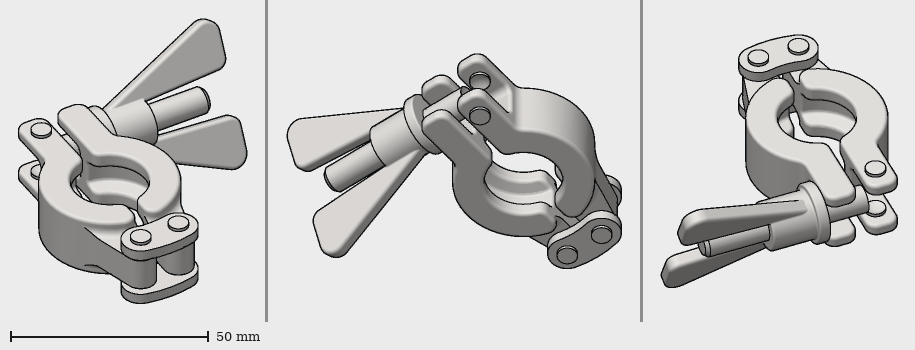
import cadquery as cq
import math


ring_radius = 18.0
bore_radius = 10.0
half_thickness = 8.5
half_gap = 1.5
edge_fillet = 1.0
tip_radius = 3.0
throat_radius = 2.7

groove_radius = 13.9
groove_mouth_half_width = 4.2
groove_flank_angle = 15.0
groove_fillet = 1.0

arm_end_x = -31.0
arm_outer_y = 10.0
arm_corner_radius = 3.0
arm_root_radius = 3.0
slot_half_width = 4.995
slot_end_x = -18.0
slot_corner_radius = 2.0

pin_x = 25.0
pin_y = 5.5
pin_radius = 2.62
pin_half_length = 9.4

lug_half_thickness = 4.5
lug_end_radius = pin_y - half_gap
lug_flank_angle = 15.2
lug_flank_curve_radius = 11.95
lug_blend_radius = 2.0
link_end_radius = 4.995
link_inner_z = 5.5

bolt_radius = 7.2 / 2
bolt_end_y = 42.3
bolt_chamfer_length = 1.0
bolt_chamfer_depth = 0.8
joint_ball_radius = 4.9
flange_radius = 16.0 / 2
flange_top_y = 13.0
hub_radius = 13.0 / 2
hub_top_y = 25.0
nut_fillet = 0.5

wing_thickness = 4.0
wing_lean_angle = 24.8
wing_reach = 20.0
wing_top_y = 49.95
wing_root_y = 13.6
wing_outer_corner = 4.0
wing_inner_corner = 3.0
wing_outer_angle = 24.0
wing_inner_angle = 3.4
wing_inner_reach = 4.995
wing_fillet = 1.0


def polar(radius, degrees, center=(0.0, 0.0)):
    """Point on the circle of the given radius around the centre."""
    angle = math.radians(degrees)
    return (center[0] + radius * math.cos(angle), center[1] + radius * math.sin(angle))


def slab(outline, half_height):
    """Closed outline extruded equally above and below the XY plane."""
    return outline.extrude(half_height, both=True)


def vertical_edge_at(x, y):
    """Selector for the edge parallel to Z that passes through (x, y)."""
    margin = 0.15
    return cq.selectors.BoxSelector(
        (x - margin, y - margin, -margin), (x + margin, y + margin, margin)
    )




def upper_side():
    """Everything on the +Y side of the gap."""
    size = 4 * ring_radius
    return cq.Workplane("XY").box(size, size, size).translate((0, half_gap + size / 2, 0))


def half_ring_with_arm():
    """Half ring and arm with rounded vertical edges."""
    arm = (
        cq.Workplane("XY")
        .moveTo(arm_end_x, half_gap)
        .lineTo(0, half_gap)
        .lineTo(0, arm_outer_y)
        .lineTo(arm_end_x, arm_outer_y)
        .close()
    )
    half = slab(cq.Workplane("XY").circle(ring_radius), half_thickness).intersect(upper_side())
    half = half.union(slab(arm, half_thickness))
    half = half.cut(slab(cq.Workplane("XY").circle(bore_radius), half_thickness))

    throat_x = math.sqrt(bore_radius**2 - half_gap**2)
    tip_x = math.sqrt(ring_radius**2 - half_gap**2)
    root_x = -math.sqrt(ring_radius**2 - arm_outer_y**2)
    half = half.edges(vertical_edge_at(throat_x, half_gap)).fillet(throat_radius)
    half = half.edges(vertical_edge_at(-throat_x, half_gap)).fillet(throat_radius)
    half = half.edges(vertical_edge_at(tip_x, half_gap)).fillet(tip_radius)
    half = half.edges(vertical_edge_at(root_x, arm_outer_y)).fillet(arm_root_radius)
    return half.edges("|Z and <X").fillet(arm_corner_radius)


def cut_slot(half):
    """Slot for the screw, open at the arm end, and rounded outer edges."""
    slot_length = slot_end_x - arm_end_x
    slot = (
        cq.Workplane("XY")
        .box(2 * slot_length, 2 * arm_outer_y, 2 * slot_half_width)
        .translate((arm_end_x, arm_outer_y, 0))
        .edges("|Y and >X")
        .fillet(slot_corner_radius)
    )
    half = half.cut(slot)
    near_slot = cq.selectors.BoxSelector(
        (arm_end_x - 0.7, 0, -slot_half_width - 0.1),
        (slot_end_x + 0.1, arm_outer_y + 0.7, slot_half_width + 0.1),
        boundingbox=True,
    )
    rims = half.edges(near_slot).edges("(not |Y) or <X")
    return rims.add(half.faces("<Z or >Z").edges()).fillet(edge_fillet)


def lug_outline(heel_x):
    """Lug from the ring to its round end, with a straight flank curving into the ring."""
    pin = (pin_x, pin_y)
    flank_normal = 90 - lug_flank_angle
    flank_end = polar(lug_end_radius, flank_normal, pin)
    flank_distance = (
        flank_end[0] * math.cos(math.radians(flank_normal))
        + flank_end[1] * math.sin(math.radians(flank_normal))
    )

    center_distance = ring_radius + lug_flank_curve_radius
    center_angle = flank_normal - math.degrees(
        math.acos((flank_distance + lug_flank_curve_radius) / center_distance)
    )
    curve_center = polar(center_distance, center_angle)
    middle_angle = 180 + (center_angle + flank_normal) / 2
    return (
        cq.Workplane("XY")
        .moveTo(heel_x, half_gap)
        .lineTo(*polar(ring_radius, center_angle))
        .threePointArc(
            polar(lug_flank_curve_radius, middle_angle, curve_center),
            polar(lug_flank_curve_radius, 180 + flank_normal, curve_center),
        )
        .lineTo(*flank_end)
        .threePointArc((pin_x + lug_end_radius, pin_y), (pin_x, half_gap))
        .close()
    )


def hinge_lug():
    """Lug on the hinge side with the piece of ring wall that it blends into."""
    tip_center_y = half_gap + tip_radius
    tip_center = (math.sqrt((ring_radius - tip_radius) ** 2 - tip_center_y**2), tip_center_y)
    tip_angle = math.degrees(math.atan2(tip_center[1], tip_center[0]))
    wall_start_angle = 80
    block_start_angle = 65
    wall = (
        cq.Workplane("XY")
        .moveTo(*polar(ring_radius, wall_start_angle))
        .threePointArc(
            polar(ring_radius, (wall_start_angle + tip_angle) / 2), polar(ring_radius, tip_angle)
        )
        .threePointArc(polar(tip_radius, -45, tip_center), polar(tip_radius, -135, tip_center))
        .close()
    )
    wall = slab(wall, half_thickness - edge_fillet)

    heel_x = tip_center[0] - tip_radius / 2
    block = (
        cq.Workplane("XY")
        .moveTo(heel_x, -ring_radius)
        .lineTo(heel_x, tip_center_y)
        .lineTo(*polar(ring_radius - tip_radius, block_start_angle))
        .lineTo(*polar(2 * ring_radius, block_start_angle))
        .lineTo(2 * ring_radius, 2 * ring_radius)
        .lineTo(2 * ring_radius, -ring_radius)
        .close()
    )
    block = slab(block, lug_half_thickness)
    seam = cq.selectors.BoxSelector(
        (heel_x, half_gap + 0.7, -lug_half_thickness - 0.1),
        (ring_radius, ring_radius, lug_half_thickness + 0.1),
    )
    blended = wall.union(block).edges(seam).edges("not |Z").fillet(lug_blend_radius)
    return blended.intersect(slab(lug_outline(heel_x), half_thickness))


def cut_groove(half):
    """V-groove in the bore, with a rounded floor and rounded lips."""
    narrowing = math.tan(math.radians(groove_flank_angle))
    inner_radius = bore_radius - groove_fillet
    mouth_half_width = groove_mouth_half_width + narrowing * groove_fillet
    floor_half_width = mouth_half_width - narrowing * (groove_radius - inner_radius)
    profile = (
        cq.Sketch()
        .polygon(
            [
                (inner_radius, -mouth_half_width),
                (groove_radius, -floor_half_width),
                (groove_radius, floor_half_width),
                (inner_radius, mouth_half_width),
                (inner_radius, -mouth_half_width),
            ]
        )
        .vertices(">X")
        .fillet(groove_fillet)
    )
    groove = cq.Workplane("XZ").placeSketch(profile).revolve(360, (0, 0, 0), (0, 1, 0))
    half = half.cut(groove)

    lip_inner_z = groove_mouth_half_width - narrowing * throat_radius
    lip_outer_z = groove_mouth_half_width + 0.1
    upper_lip = cq.selectors.BoxSelector(
        (-groove_radius, 0, lip_inner_z), (groove_radius, groove_radius, lip_outer_z), True
    )
    lower_lip = cq.selectors.BoxSelector(
        (-groove_radius, 0, -lip_outer_z), (groove_radius, groove_radius, -lip_inner_z), True
    )
    return half.edges(upper_lip + lower_lip).fillet(groove_fillet)


def clamp_half():
    """Upper half: ring, slotted arm, hinge lug and groove."""
    half = cut_slot(half_ring_with_arm())
    return cut_groove(half.union(hinge_lug()))




def pin(x, y):
    """Round pin along Z."""
    return slab(cq.Workplane("XY").center(x, y).circle(pin_radius), pin_half_length)


def link():
    """Upper hinge link, a slot shape curved about the ring axis, over both hinge pins."""
    pin_distance = math.hypot(pin_x, pin_y)
    pin_angle = math.degrees(math.atan2(pin_y, pin_x))
    outer = pin_distance + link_end_radius
    inner = pin_distance - link_end_radius
    return (
        cq.Workplane("XY", origin=(0, 0, link_inner_z))
        .moveTo(*polar(outer, -pin_angle))
        .threePointArc((outer, 0), polar(outer, pin_angle))
        .tangentArcPoint(polar(inner, pin_angle), relative=False)
        .threePointArc((inner, 0), polar(inner, -pin_angle))
        .tangentArcPoint(polar(outer, -pin_angle), relative=False)
        .close()
        .extrude(half_thickness - link_inner_z)
    )


def joint_ball():
    """Spherical hollow between the arm pin and the end of the bolt."""
    return cq.Workplane("XY").sphere(joint_ball_radius).translate((-pin_x, -pin_y, 0))


def make_clamp():
    """Both halves with the hinge pins, the two links and the arm pin."""
    upper_half = clamp_half()
    upper_link = link()
    clamp = upper_half.union(upper_half.mirror("XZ"))
    clamp = clamp.union(upper_link).union(upper_link.mirror("XY"))
    for x, y in [(pin_x, pin_y), (pin_x, -pin_y), (-pin_x, -pin_y)]:
        clamp = clamp.union(pin(x, y))
    return clamp.cut(joint_ball())




def along_screw(radius, start_y, end_y):
    """Cylinder on the screw axis."""
    base = cq.Workplane("XZ", origin=(-pin_x, start_y, 0))
    return base.circle(radius).extrude(start_y - end_y)


def bolt():
    """Bolt with a chamfered free end and a dished end at the arm pin."""
    shank = along_screw(bolt_radius, -pin_y, bolt_end_y)
    shank = shank.faces(">Y").chamfer(bolt_chamfer_length, bolt_chamfer_depth)
    return shank.cut(joint_ball())


def wing():
    """Flat rounded wing in the YZ plane, leaned about the screw axis."""
    inner_slope = math.tan(math.radians(wing_inner_angle))
    outer_slope = math.tan(math.radians(wing_outer_angle))
    inner_top = wing_inner_reach + inner_slope * (wing_top_y - hub_top_y)

    corner_reach = wing_reach - wing_outer_corner
    corner_y = wing_top_y - wing_outer_corner
    tangent_offset = wing_outer_corner / math.cos(math.radians(wing_outer_angle))
    outer_top = corner_reach + tangent_offset + outer_slope * wing_outer_corner
    outer_root = corner_reach + tangent_offset - outer_slope * (corner_y - wing_root_y)

    plate = (
        cq.Workplane("YZ")
        .moveTo(wing_root_y, 0)
        .lineTo(hub_top_y - wing_inner_reach, 0)
        .lineTo(hub_top_y, wing_inner_reach)
        .lineTo(wing_top_y, inner_top)
        .lineTo(wing_top_y, outer_top)
        .lineTo(wing_root_y, outer_root)
        .close()
        .extrude(wing_thickness / 2, both=True)
    )
    plate = plate.edges("|X and >Y and >Z").fillet(wing_outer_corner)
    plate = plate.edges("|X and >Y").edges("<Z").fillet(wing_inner_corner)
    plate = plate.faces("<X or >X").edges().fillet(wing_fillet)
    return plate.rotate((0, 0, 0), (0, 1, 0), -wing_lean_angle).translate((-pin_x, 0, 0))


def make_wing_screw():
    """Bolt carrying the nut: flange, hub and two opposite wings blended into the hub."""
    hub = along_screw(hub_radius, arm_outer_y, hub_top_y)
    flange = along_screw(flange_radius, arm_outer_y, flange_top_y)
    nut = hub.union(flange).edges("%CIRCLE").fillet(nut_fillet)

    upper_wing = wing()
    lower_wing = upper_wing.rotate((-pin_x, 0, 0), (-pin_x, 1, 0), 180)
    nut = nut.union(upper_wing).union(lower_wing)
    wing_seams = cq.selectors.BoxSelector(
        (-pin_x - wing_reach, flange_top_y + nut_fillet + 0.1, -hub_radius),
        (-pin_x + wing_reach, hub_top_y - nut_fillet + 0.1, hub_radius),
        boundingbox=True,
    )
    nut = nut.edges(wing_seams).fillet(nut_fillet)
    return nut.union(bolt())


clamp = make_clamp()
wing_screw = make_wing_screw()
result = cq.Compound.makeCompound([clamp.val(), wing_screw.val()])